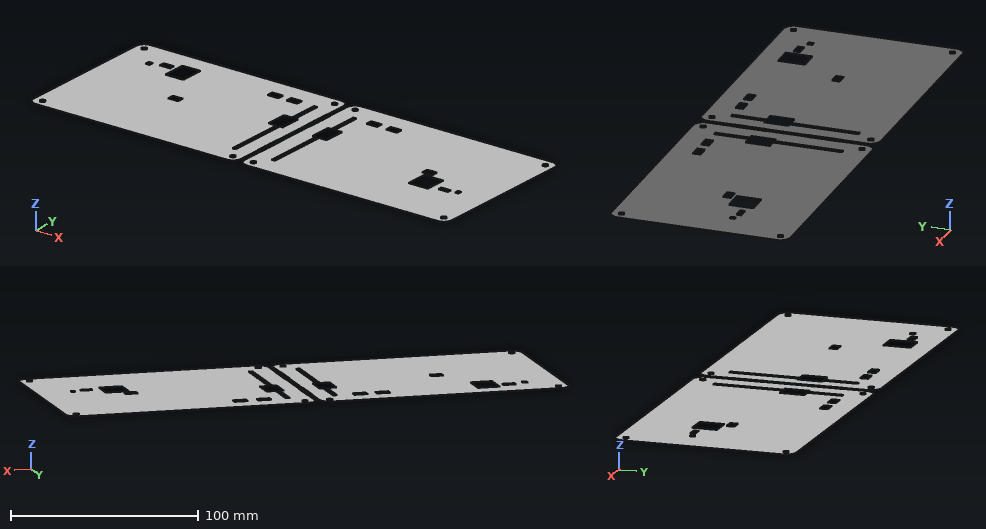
import cadquery as cq

length = 279.8
width = 102.0
thickness = 0.3
panel_gap = 2.0
corner_radius = 6.0
panel_length = (length - panel_gap) / 2
panel_center_x = (length - panel_length) / 2

mount_hole_diameter = 3.0
mount_hole_spacing_x = panel_length - 2 * corner_radius
mount_hole_spacing_y = width - 2 * corner_radius

tab_length = 19.0
tab_center_y = 21.5
perforation_diameter = 0.5
perforation_pitch = 0.7
perforation_count = int(tab_length / perforation_pitch)

slot_width = 2.0
slot_length = 72.5
slot_center_y = -0.3
slot_window_width = 9.2
slot_window_height = 13.7
slot_window_y = 9.5
left_slot_x = -12.5
left_slot_window_x = -14.3
right_slot_x = 13.7
right_slot_window_x = 15.0

upper_port_width = 7.0
middle_port_width = 6.5
port_height = 4.2
upper_port_y = 35.5
upper_port_xs = (-39.2, -26.5, 27.0, 40.0)
middle_port_y = 0.0
middle_port_xs = (-79.2, 90.7)

left_display_window = (-97.5, 30.8, 11.8, 15.0)
left_switch_window = (-110.0, 33.3, 6.7, 3.4)
left_indicator_window = (-119.5, 30.2, 2.5, 2.8)
right_display_window = (96.8, -11.5, 12.5, 13.7)
right_switch_window = (111.5, -14.3, 6.2, 2.5)
right_indicator_window = (119.2, -12.5, 2.0, 2.5)


def block(center_x, center_y, size_x, size_y):
    """Rectangular block as thick as the sheet."""
    return cq.Workplane("XY").center(center_x, center_y).rect(size_x, size_y).extrude(thickness)


def panel(center_x):
    """Panel with rounded corners and a mounting hole in each corner."""
    mount_holes = (
        cq.Workplane("XY")
        .center(center_x, 0)
        .rarray(mount_hole_spacing_x, mount_hole_spacing_y, 2, 2)
        .circle(mount_hole_diameter / 2)
        .extrude(thickness)
    )
    return block(center_x, 0, panel_length, width).edges("|Z").fillet(corner_radius).cut(mount_holes)


def perforations(center_y):
    """Two rows of small holes, one along each panel edge of a tab."""
    return (
        cq.Workplane("XY")
        .center(0, center_y)
        .rarray(panel_gap, perforation_pitch, 2, perforation_count)
        .circle(perforation_diameter / 2)
        .extrude(thickness)
    )


def windowed_slot(slot_x, window_x):
    """Long narrow slot crossed by its wider window."""
    slot = block(slot_x, slot_center_y, slot_width, slot_length)
    window = block(window_x, slot_window_y, slot_window_width, slot_window_height)
    return slot.union(window)


sheet = panel(-panel_center_x).union(panel(panel_center_x))
for tab_y in (-tab_center_y, tab_center_y):
    sheet = sheet.union(block(0, tab_y, panel_gap, tab_length))
    sheet = sheet.cut(perforations(tab_y))

sheet = sheet.cut(windowed_slot(left_slot_x, left_slot_window_x))
sheet = sheet.cut(windowed_slot(right_slot_x, right_slot_window_x))

for port_x in upper_port_xs:
    sheet = sheet.cut(block(port_x, upper_port_y, upper_port_width, port_height))
for port_x in middle_port_xs:
    sheet = sheet.cut(block(port_x, middle_port_y, middle_port_width, port_height))

for window in (
    left_display_window,
    left_switch_window,
    left_indicator_window,
    right_display_window,
    right_switch_window,
    right_indicator_window,
):
    sheet = sheet.cut(block(*window))

result = sheet